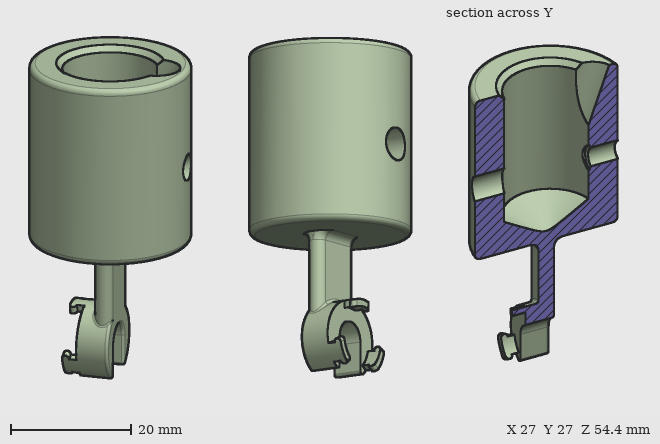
import cadquery as cq
import math

BODY_DIAMETER = 27.0
BODY_RADIUS = BODY_DIAMETER / 2
BODY_HEIGHT = 31.0
BODY_EDGE_RADIUS = 1.0

SOCKET_DIAMETER = 16.0
SOCKET_RADIUS = SOCKET_DIAMETER / 2
SOCKET_DEPTH = 25.0
SOCKET_CHAMFER = 1.0
DRILL_POINT_ANGLE = 118.0

RELIEF_RADIUS = 4.0
RELIEF_TILT = 20.0
RELIEF_OUTER_X = 12.0
RELIEF_REACH = 30.0

CROSS_HOLE_Z = 14.0
CLEARANCE_DIAMETER = 5.5
THREAD_DIAMETER = 4.5

STEM_THICKNESS = 3.0
STEM_WIDTH = 10.0
STEM_LENGTH = 14.2
STEM_FLARE_RADIUS = 1.5
FLARE_CORNER_GAP = 0.00001
FLARE_CORNER_RADIUS = STEM_THICKNESS / 2 - FLARE_CORNER_GAP

HEAD_RADIUS = 6.5
HEAD_CENTER_Z = -18.0
HEAD_BACK_X = STEM_THICKNESS / 2
HEAD_FRONT_X = -4.0
HEAD_LENGTH = HEAD_BACK_X - HEAD_FRONT_X
SLOT_WIDTH = 6.0
TIP_RADIUS = 0.5
HEAD_EDGE_GAP = 0.001
HEAD_EDGE_RADIUS = TIP_RADIUS - HEAD_EDGE_GAP
JOINT_RADIUS = 0.5

CLAW_LENGTH = 2.5
CLAW_INNER_RADIUS = 5.3
CLAW_WIDTH = 3.35
CLAW_SIDE_ANGLE = 6.0
CLAW_ANGLES = (0.0, 120.0, 240.0)
BEAD_RADIUS = CLAW_LENGTH / 4
CLAW_FRONT_X = HEAD_FRONT_X - CLAW_LENGTH


def x_cylinder(radius, start_x, length, center_z):
    """Cylinder along +X, centred on Y = 0."""
    return cq.Workplane("YZ", origin=(start_x, 0, center_z)).circle(radius).extrude(length)


def make_body():
    body = cq.Workplane("XY").circle(BODY_RADIUS).extrude(BODY_HEIGHT)
    return body.edges().fillet(BODY_EDGE_RADIUS)


def make_socket():
    """Revolved cutter for the bore, its drill point and its chamfered mouth."""
    floor_z = BODY_HEIGHT - SOCKET_DEPTH
    point_depth = SOCKET_RADIUS / math.tan(math.radians(DRILL_POINT_ANGLE / 2))
    profile = (
        cq.Workplane("XZ")
        .moveTo(0, floor_z - point_depth)
        .lineTo(SOCKET_RADIUS, floor_z)
        .lineTo(SOCKET_RADIUS, BODY_HEIGHT - SOCKET_CHAMFER)
        .lineTo(SOCKET_RADIUS + SOCKET_CHAMFER, BODY_HEIGHT)
        .lineTo(0, BODY_HEIGHT)
        .close()
    )
    return profile.revolve(360, (0, 0, 0), (0, 1, 0))


def make_relief():
    """Cylinder leaning outwards at the top; its outermost point on the top face is RELIEF_OUTER_X."""
    tilt = math.radians(RELIEF_TILT)
    center_x = RELIEF_OUTER_X - RELIEF_RADIUS / math.cos(tilt)
    axis = cq.Vector(math.sin(tilt), 0, math.cos(tilt))
    start = cq.Vector(center_x, 0, BODY_HEIGHT) - axis * (RELIEF_REACH / 2)
    return cq.Workplane(cq.Solid.makeCylinder(RELIEF_RADIUS, RELIEF_REACH, start, axis))


def make_cross_hole():
    """Clearance hole up to the far wall of the socket, then a cone down to the thread hole in +X."""
    large_radius = CLEARANCE_DIAMETER / 2
    small_radius = THREAD_DIAMETER / 2
    cone_start_x = SOCKET_RADIUS
    cone_length = (large_radius - small_radius) / math.tan(math.radians(DRILL_POINT_ANGLE / 2))
    cone_end_x = cone_start_x + cone_length
    profile = (
        cq.Workplane("XY")
        .moveTo(-BODY_RADIUS, 0)
        .lineTo(-BODY_RADIUS, large_radius)
        .lineTo(cone_start_x, large_radius)
        .lineTo(cone_end_x, small_radius)
        .lineTo(BODY_RADIUS, small_radius)
        .lineTo(BODY_RADIUS, 0)
        .close()
    )
    return profile.revolve(360, (0, 0, 0), (1, 0, 0)).translate((0, 0, CROSS_HOLE_Z))


def make_flare():
    """Concave root of the stem: its section follows the fillet, its end corners are rounded over."""
    half = STEM_THICKNESS / 2
    flare = STEM_FLARE_RADIUS
    sag = flare * (1 - math.sqrt(0.5))
    profile = (
        cq.Workplane("XZ", origin=(0, STEM_WIDTH / 2, 0))
        .moveTo(half, -flare)
        .threePointArc((half + sag, -sag), (half + flare, 0))
        .lineTo(-half - flare, 0)
        .threePointArc((-half - sag, -sag), (-half, -flare))
        .close()
    )
    return profile.extrude(STEM_WIDTH).edges("%CIRCLE").fillet(FLARE_CORNER_RADIUS)


def make_plate():
    """Flat stem with fully rounded sides, from the body down into the head."""
    plate = cq.Workplane("XY").slot2D(STEM_WIDTH, STEM_THICKNESS, 90)
    return plate.extrude(-STEM_LENGTH)


def make_slot():
    slot = x_cylinder(SLOT_WIDTH / 2, HEAD_FRONT_X, HEAD_LENGTH, HEAD_CENTER_Z)
    channel = cq.Workplane("XY").box(HEAD_LENGTH, SLOT_WIDTH, HEAD_RADIUS, centered=(False, True, False))
    return slot.union(channel.translate((HEAD_FRONT_X, 0, HEAD_CENTER_Z - HEAD_RADIUS)))


def make_claw(angle):
    """Tapered ring segment whose front half carries a rounded bead along each side."""
    root_width = CLAW_WIDTH - 2 * HEAD_RADIUS * math.tan(math.radians(CLAW_SIDE_ANGLE))
    claw = (
        cq.Workplane("YZ", origin=(CLAW_FRONT_X, 0, 0))
        .moveTo(-root_width / 2, 0)
        .lineTo(root_width / 2, 0)
        .lineTo(CLAW_WIDTH / 2, HEAD_RADIUS)
        .lineTo(-CLAW_WIDTH / 2, HEAD_RADIUS)
        .close()
        .extrude(CLAW_LENGTH)
    )
    for side in (-1, 1):
        root = (CLAW_FRONT_X + BEAD_RADIUS, side * root_width / 2, 0)
        bead = cq.Workplane("XY").circle(BEAD_RADIUS).extrude(2 * HEAD_RADIUS)
        bead = bead.rotate((0, 0, 0), (1, 0, 0), -side * CLAW_SIDE_ANGLE).translate(root)
        claw = claw.union(bead)
    ring = x_cylinder(HEAD_RADIUS, CLAW_FRONT_X, CLAW_LENGTH, 0)
    ring = ring.cut(x_cylinder(CLAW_INNER_RADIUS, CLAW_FRONT_X, CLAW_LENGTH, 0))
    claw = claw.intersect(ring)
    return claw.rotate((0, 0, 0), (1, 0, 0), angle).translate((0, 0, HEAD_CENTER_Z))


def make_head():
    """Slotted disc with rounded tips and a rounded back outline, blended into the stem plate."""
    disc = x_cylinder(HEAD_RADIUS, HEAD_FRONT_X, HEAD_LENGTH, HEAD_CENTER_Z).cut(make_slot())
    disc = disc.edges("|X").edges("<Z").fillet(TIP_RADIUS)
    disc = disc.faces(">X").edges().fillet(HEAD_EDGE_RADIUS)
    joint_zone = cq.selectors.BoxSelector(
        (-STEM_THICKNESS, -STEM_WIDTH, -STEM_LENGTH),
        (STEM_THICKNESS, STEM_WIDTH, HEAD_CENTER_Z + HEAD_RADIUS + JOINT_RADIUS),
    )
    head = disc.union(make_plate())
    return head.edges(joint_zone).edges("not |Z").fillet(JOINT_RADIUS)


def make_holder():
    holder = make_body().cut(make_socket()).cut(make_relief()).cut(make_cross_hole())
    holder = holder.union(make_flare()).union(make_head())
    for claw_angle in CLAW_ANGLES:
        holder = holder.union(make_claw(claw_angle))
    return holder


result = make_holder()